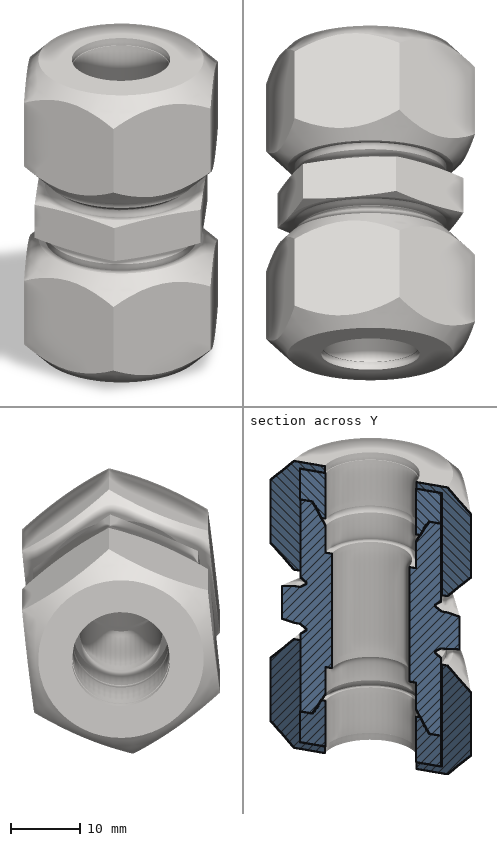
import cadquery as cq
import math


half_length = 23.0

nut_across_flats = 27.0
nut_length = 17.5
nut_face_diameter = 23.87
nut_chamfer_angle = 45.0
nut_bore_diameter = 14.2
nut_lip = 1.15

thread_diameter = 22.0
thread_start = 4.5
thread_end = 17.0
groove_diameter = 20.0
groove_bottom_width = 0.15
groove_centre = 3.73
hex_across_flats = 24.0
hex_thickness = 6.0
hex_face_diameter = 23.75
hex_chamfer_angle = 10.0
through_bore_diameter = 12.0
socket_stop = 9.2
seat_bottom = 13.45
seat_angle = 30.0

ferrule_bore_diameter = 14.0
ferrule_length = 7.3

nut_inner_face = half_length - nut_length
ferrule_top = half_length - nut_lip
ferrule_bottom = ferrule_top - ferrule_length
thread_radius = thread_diameter / 2
ferrule_bore_radius = ferrule_bore_diameter / 2
seat_slope = math.tan(math.radians(seat_angle))
mouth_radius = ferrule_bore_radius + (thread_end - seat_bottom) * seat_slope
ferrule_tip_radius = ferrule_bore_radius + (ferrule_bottom - seat_bottom) * seat_slope


def revolve_profile(points):
    """Revolve (radius, height) points about the Z axis."""
    return cq.Workplane("YZ").polyline(points).close().revolve(360, (0, 0, 0), (0, 1, 0))


def chamfered_hexagon(across_flats, bottom, height, face_diameter, chamfer_angle):
    """Hexagonal prism with corners on the X axis and both ends turned to a cone."""
    corner_radius = across_flats / math.sqrt(3)
    face_radius = face_diameter / 2
    drop = (corner_radius - face_radius) * math.tan(math.radians(chamfer_angle))
    top = bottom + height
    prism = cq.Workplane("XY").workplane(offset=bottom).polygon(6, 2 * corner_radius).extrude(height)
    envelope = revolve_profile([
        (0, bottom),
        (face_radius, bottom),
        (corner_radius, bottom + drop),
        (corner_radius, top - drop),
        (face_radius, top),
        (0, top),
    ])
    return prism.intersect(envelope)


def cylinder(diameter, bottom, top):
    return cq.Workplane("XY").workplane(offset=bottom).circle(diameter / 2).extrude(top - bottom)


def make_nut():
    """Upper union nut: narrow lip bore at the outer end, wide threaded bore below it."""
    nut = chamfered_hexagon(
        nut_across_flats, nut_inner_face, nut_length, nut_face_diameter, nut_chamfer_angle
    )
    nut = nut.cut(cylinder(nut_bore_diameter, nut_inner_face, half_length))
    return nut.cut(cylinder(thread_diameter, nut_inner_face, ferrule_top))


def make_ferrule():
    """Upper ferrule: a ring filling the nut above the connector, with a wedge in the conical mouth."""
    return revolve_profile([
        (ferrule_bore_radius, ferrule_top),
        (thread_radius, ferrule_top),
        (thread_radius, thread_end),
        (mouth_radius, thread_end),
        (ferrule_tip_radius, ferrule_bottom),
        (ferrule_bore_radius, ferrule_bottom),
    ])


def make_half_shank():
    """Upper threaded end of the connector, with the V groove next to the hexagon."""
    groove_radius = groove_diameter / 2
    return revolve_profile([
        (0, 0),
        (thread_radius, 0),
        (thread_radius, hex_thickness / 2),
        (groove_radius, groove_centre - groove_bottom_width / 2),
        (groove_radius, groove_centre + groove_bottom_width / 2),
        (thread_radius, thread_start),
        (thread_radius, thread_end),
        (mouth_radius, thread_end),
        (ferrule_bore_radius, seat_bottom),
        (ferrule_bore_radius, socket_stop),
        (0, socket_stop),
    ])


def make_connector():
    upper_shank = make_half_shank()
    hexagon = chamfered_hexagon(
        hex_across_flats, -hex_thickness / 2, hex_thickness, hex_face_diameter, hex_chamfer_angle
    )
    connector = hexagon.union(upper_shank).union(upper_shank.mirror("XY"))
    return connector.cut(cylinder(through_bore_diameter, -half_length, half_length))


connector = make_connector()
bodies = [connector.val()]
for upper_part in (make_nut(), make_ferrule()):
    bodies.append(upper_part.val())
    bodies.append(upper_part.mirror("XY").val())

result = cq.Compound.makeCompound(bodies)